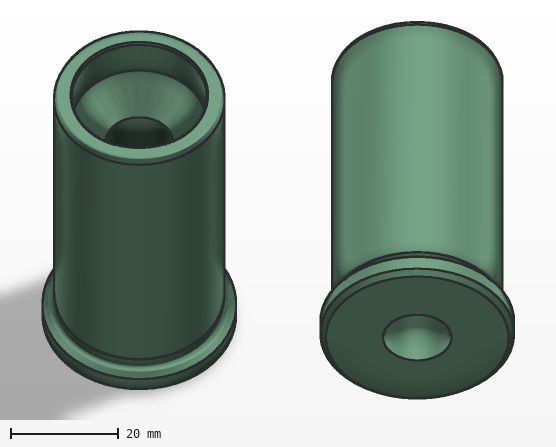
import cadquery as cq

height = 65.0
body_radius = 31.7 / 2
collar_radius = 36.0 / 2
collar_height = 5.0

collar_bottom_chamfer = 1.05
collar_top_chamfer = 1.05
collar_rim_round = 0.4

groove_top = 7.1
groove_depth = 0.1
groove_fillet = 0.4

lead_in_width = 0.45
lead_in_height = 1.2
rim_round = 0.4

bore_radius = 12.7 / 2
counterbore_radius = 25.0 / 2
counterbore_depth = 8.0
funnel_height = 6.2
mouth_chamfer_width = 0.25
mouth_chamfer_height = 0.6

counterbore_floor = height - counterbore_depth
groove_radius = body_radius - groove_depth


def circle_at(z):
    """Return a selector for the circular edges on the horizontal plane at height z."""
    tolerance = 0.005
    return cq.selectors.BoxSelector(
        (-collar_radius, -collar_radius, z - tolerance),
        (collar_radius, collar_radius, z + tolerance),
    )


outer_profile = (
    cq.Workplane("XZ")
    .lineTo(collar_radius - collar_bottom_chamfer, 0)
    .lineTo(collar_radius, collar_bottom_chamfer)
    .lineTo(collar_radius, collar_height - collar_top_chamfer)
    .lineTo(collar_radius - collar_top_chamfer, collar_height)
    .lineTo(groove_radius + groove_fillet, collar_height)
    .radiusArc((groove_radius, collar_height + groove_fillet), groove_fillet)
    .lineTo(groove_radius, groove_top)
    .lineTo(body_radius, groove_top)
    .lineTo(body_radius, height - lead_in_height)
    .lineTo(body_radius - lead_in_width, height)
    .lineTo(0, height)
    .close()
)
outside = outer_profile.revolve(360, (0, 0, 0), (0, 1, 0))
outside = outside.edges(circle_at(height)).fillet(rim_round)
outer_circle = cq.selectors.RadiusNthSelector(-1)
outside = outside.edges(circle_at(collar_height)).edges(outer_circle).fillet(collar_rim_round)

cavity = (
    cq.Workplane("XZ")
    .lineTo(bore_radius, 0)
    .lineTo(bore_radius, counterbore_floor - funnel_height)
    .lineTo(counterbore_radius, counterbore_floor)
    .lineTo(counterbore_radius, height - mouth_chamfer_height)
    .lineTo(counterbore_radius + mouth_chamfer_width, height)
    .lineTo(0, height)
    .close()
    .revolve(360, (0, 0, 0), (0, 1, 0))
)

result = outside.cut(cavity)